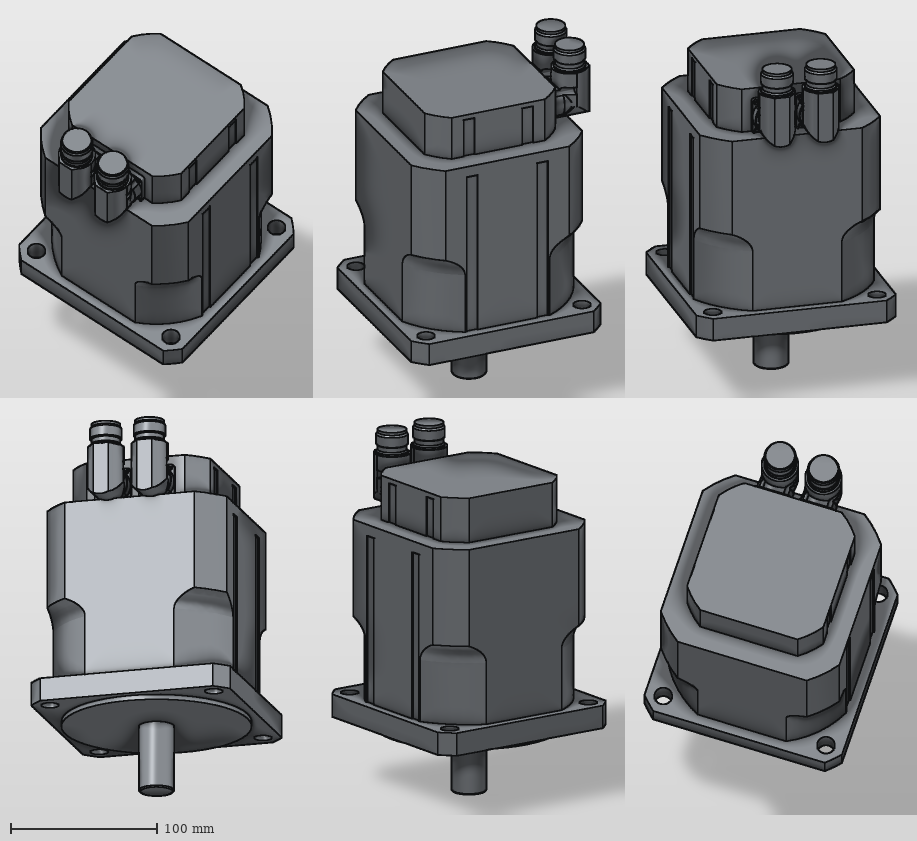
import cadquery as cq
import math

shaft_diameter = 24.0
shaft_length = 46.5
shaft_chamfer = 1.0
pilot_diameter = 130.0
pilot_height = 3.5
flange_width = 142.0
flange_thickness = 16.0
flange_corner_radius = 94.0
mount_hole_diameter = 12.2
mount_hole_offset = 58.5
housing_width = 128.3
housing_height = 126.0
housing_corner_radius = 79.1
cap_width = 98.0
cap_height = 31.5
cap_corner_radius = 60.1

flange_bottom = shaft_length + pilot_height
housing_bottom = flange_bottom + flange_thickness
housing_top = housing_bottom + housing_height

relief_radius = 71.5
relief_straight_height = 43.5
relief_arc_radius = 16.5

cut_clearance = 2.5

groove_width = 8.3
groove_depth = 1.0
housing_groove_offset = 26.3
housing_groove_height = 117.9
cap_groove_offset = 22
cap_groove_height = 27.8

overall_depth = 152.0
connector_offset = 15.5
elbow_half_width = 12.7
elbow_front_radius = 12.5
elbow_top = 227.0
elbow_drop = 1.0
nib_flat_width = 10.7
nib_chamfer = 2.7
barrel_radius = 12.2
barrel_collar_length = 6.8
plate_thickness = 3.5
plate_corner_radius = 2.5
screw_hole_diameter = 2.7
screw_offset = 10.0
screw_channel_radius = 2.7
neck_radius = 20.0 / 2
ring_radius = 22 / 2
shoulder_top = 228.2
neck_bottom = 229.4
ring_bottom = 233.3
ring_top = 240.0
ring_lower_chamfer = 0.7
ring_upper_chamfer = 1.5
connector_top = 243.5

plate_back = -cap_width / 2
plate_front = plate_back - plate_thickness
elbow_front_y = flange_width / 2 - overall_depth
elbow_y = elbow_front_y + elbow_half_width
elbow_z = housing_top - elbow_drop + elbow_half_width


def rounded_square(width, corner_radius, bottom, height):
    """Square block whose corners are turned to a radius about the Z axis."""
    block = cq.Workplane("XY").workplane(offset=bottom).rect(width, width).extrude(height)
    turned = cq.Workplane("XY").workplane(offset=bottom).circle(corner_radius).extrude(height)
    return block.intersect(turned)


def corner_relief():
    """Ring of material removed around the lower housing corners."""
    outer = housing_corner_radius + cut_clearance
    arc_start = housing_bottom + relief_straight_height
    arc_center = relief_radius + relief_arc_radius

    def arc_height(radius):
        return arc_start + math.sqrt(relief_arc_radius**2 - (arc_center - radius) ** 2)

    middle = (relief_radius + outer) / 2
    profile = (
        cq.Workplane("XZ")
        .moveTo(relief_radius, housing_bottom)
        .lineTo(relief_radius, arc_start)
        .threePointArc((middle, arc_height(middle)), (outer, arc_height(outer)))
        .lineTo(outer, housing_bottom)
        .close()
    )
    return profile.revolve(360, (0, 0, 0), (0, 1, 0))


def side_grooves(width, offset, bottom, height):
    """Two shallow vertical grooves on each X side of a square block."""
    return (
        cq.Workplane("XY")
        .workplane(offset=bottom)
        .pushPoints([(sx * width / 2, sy * offset) for sx in (-1, 1) for sy in (-1, 1)])
        .rect(2 * groove_depth, groove_width)
        .extrude(height)
    )


def make_motor():
    shaft = cq.Workplane("XY").circle(shaft_diameter / 2).extrude(shaft_length)
    shaft = shaft.faces("<Z").chamfer(shaft_chamfer)
    pilot = (
        cq.Workplane("XY").workplane(offset=shaft_length).circle(pilot_diameter / 2).extrude(pilot_height)
    )
    flange = rounded_square(flange_width, flange_corner_radius, flange_bottom, flange_thickness)
    mount_holes = (
        cq.Workplane("XY")
        .workplane(offset=flange_bottom)
        .rect(2 * mount_hole_offset, 2 * mount_hole_offset, forConstruction=True)
        .vertices()
        .circle(mount_hole_diameter / 2)
        .extrude(flange_thickness)
    )
    housing = (
        rounded_square(housing_width, housing_corner_radius, housing_bottom, housing_height)
        .cut(corner_relief())
        .cut(side_grooves(housing_width, housing_groove_offset, housing_bottom, housing_groove_height))
    )
    cap = rounded_square(cap_width, cap_corner_radius, housing_top, cap_height).cut(
        side_grooves(cap_width, cap_groove_offset, housing_top, cap_groove_height)
    )
    return shaft.union(pilot).union(flange.cut(mount_holes)).union(housing).union(cap)


def nib_profile():
    """Round column section with a flat, chamfered nib toward -Y."""
    half_flat = nib_flat_width / 2
    half_nib = half_flat + nib_chamfer
    shoulder = -math.sqrt(elbow_front_radius**2 - half_nib**2)
    return (
        cq.Workplane("XY")
        .moveTo(-half_nib, shoulder)
        .threePointArc((0, elbow_front_radius), (half_nib, shoulder))
        .lineTo(half_flat, -elbow_half_width)
        .lineTo(-half_flat, -elbow_half_width)
        .close()
    )


def make_elbow():
    """Upright column whose lower end is trimmed to a cylinder along Y."""
    size = 2 * elbow_half_width
    column_bottom = elbow_z - elbow_half_width
    column_height = elbow_top - column_bottom
    front = nib_profile().extrude(column_height)
    rear = cq.Workplane("XY").circle(elbow_half_width).extrude(column_height)
    rear = rear.intersect(
        cq.Workplane("XY").box(size, size, column_height, centered=(True, False, False))
    )
    column = front.union(rear).translate((0, elbow_y, column_bottom))

    trim = cq.Workplane("XZ").circle(elbow_half_width).extrude(size / 2, both=True)
    trim = trim.translate((0, elbow_y, elbow_z))
    upper = cq.Workplane("XY").box(size, size, elbow_top - elbow_z, centered=(True, True, False))
    return column.intersect(trim.union(upper.translate((0, elbow_y, elbow_z))))


def make_threaded_top():
    profile = [
        (0, elbow_top),
        (ring_radius, elbow_top),
        (ring_radius, shoulder_top),
        (neck_radius, neck_bottom),
        (neck_radius, ring_bottom - ring_lower_chamfer),
        (ring_radius, ring_bottom),
        (ring_radius, ring_top),
        (neck_radius, ring_top + ring_upper_chamfer),
        (neck_radius, connector_top),
        (0, connector_top),
    ]
    top = cq.Workplane("XZ").polyline(profile).close().revolve(360, (0, 0, 0), (0, 1, 0))
    return top.translate((0, elbow_y, 0))


def along_y(start):
    """Sketch plane centred on the barrel axis; extrusions run toward -Y."""
    return cq.Workplane("XZ", origin=(0, start, elbow_z))


def at_screws(start):
    """The four screw positions on a sketch plane across the barrel."""
    return along_y(start).rect(2 * screw_offset, 2 * screw_offset, forConstruction=True).vertices()


def make_connector(x):
    plate = (
        along_y(plate_back)
        .rect(2 * elbow_half_width, 2 * elbow_half_width)
        .extrude(plate_thickness)
        .edges("|Y")
        .fillet(plate_corner_radius)
    )
    screw_holes = at_screws(plate_back).circle(screw_hole_diameter / 2).extrude(plate_thickness)

    barrel_length = plate_front - elbow_y
    collar = along_y(plate_front).circle(elbow_half_width).extrude(barrel_collar_length)
    barrel = along_y(plate_front).circle(barrel_radius).extrude(barrel_length).union(collar)
    channels = at_screws(plate_front).circle(screw_channel_radius).extrude(barrel_length)

    slot_reach = elbow_half_width + cut_clearance - screw_offset
    slots = (
        along_y(plate_front)
        .pushPoints([(side * (screw_offset + slot_reach / 2), screw_offset) for side in (-1, 1)])
        .rect(slot_reach, 2 * screw_channel_radius)
        .extrude(barrel_length)
    )
    upper_space = cq.Workplane("XY", origin=(0, elbow_y, elbow_z)).box(
        2 * elbow_half_width, 2 * barrel_length, elbow_half_width, centered=(True, True, False)
    )
    elbow = make_elbow().cut(channels.intersect(upper_space)).cut(slots)

    body = elbow.union(barrel.cut(channels)).union(plate.cut(screw_holes)).union(make_threaded_top())
    return body.translate((x, 0, 0))


connectors = [make_connector(side * connector_offset) for side in (-1, 1)]

motor = make_motor()
for connector in connectors:
    motor = motor.cut(connector)

bodies = [motor, *connectors]
result = cq.Compound.makeCompound([body.solids().val() for body in bodies])